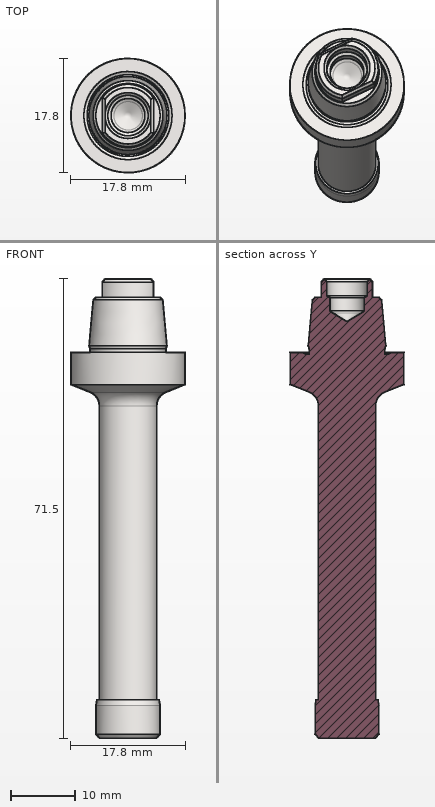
import cadquery as cq
import math

total_height = 71.45
shaft_radius = 4.5

collar_radius = 5.0
collar_height = 6.0
collar_top_radius = 4.85
collar_top_bevel_height = 0.85
foot_chamfer_height = 0.65
foot_radius = 4.4

flange_diameter = 17.8
flange_radius = flange_diameter / 2
flange_bottom = 55.0
flange_top = 60.0
underside_slope = math.radians(22)
underside_blend_radius = 2.2

groove_outer_radius = 6.85
groove_wall_width = 0.5
groove_depth = 0.3
neck_radius = 5.9

taper_bottom = 61.0
taper_bottom_radius = 6.1
taper_top_radius = 5.4
taper_top = 68.6
taper_chamfer = 0.4
taper_lip_height = 0.4

tang_radius = 4.85
tang_flat_distance = 8.0
tang_chamfer_width = 0.4
tang_chamfer_height = 0.5

bore_mouth_radius = 3.6
bore_radius = 3.15
bore_chamfer_height = 0.4
bore_depth = 2.65
pilot_radius = 2.65
pilot_lead_in_height = 0.3
pilot_depth = 5.0
drill_radius = 2.2
drill_lead_in_height = 0.3
drill_point_angle = math.radians(118)


def make_body():
    """Revolve everything below the tang about Z."""
    blend_center_radius = shaft_radius + underside_blend_radius
    tangent_radius = blend_center_radius - underside_blend_radius * math.sin(underside_slope)
    tangent_height = flange_bottom - (flange_radius - tangent_radius) * math.tan(underside_slope)
    blend_center_height = tangent_height - underside_blend_radius * math.cos(underside_slope)
    middle_angle = (math.pi + math.pi / 2 + underside_slope) / 2
    blend_middle = (
        blend_center_radius + underside_blend_radius * math.cos(middle_angle),
        blend_center_height + underside_blend_radius * math.sin(middle_angle),
    )
    profile = (
        cq.Workplane("XZ")
        .lineTo(foot_radius, 0)
        .lineTo(collar_radius, foot_chamfer_height)
        .lineTo(collar_radius, collar_height - collar_top_bevel_height)
        .lineTo(collar_top_radius, collar_height)
        .lineTo(shaft_radius, collar_height)
        .lineTo(shaft_radius, blend_center_height)
        .threePointArc(blend_middle, (tangent_radius, tangent_height))
        .lineTo(flange_radius, flange_bottom)
        .lineTo(flange_radius, flange_top)
        .lineTo(groove_outer_radius, flange_top)
        .lineTo(groove_outer_radius - groove_wall_width, flange_top - groove_depth)
        .lineTo(neck_radius, flange_top - groove_depth)
        .lineTo(neck_radius, taper_bottom - taper_lip_height)
        .lineTo(taper_bottom_radius, taper_bottom)
        .lineTo(taper_top_radius, taper_top - taper_chamfer)
        .lineTo(taper_top_radius - taper_chamfer, taper_top)
        .lineTo(0, taper_top)
        .close()
    )
    return profile.revolve(360, (0, 0), (0, 1))


def make_tang():
    """Round tang cut by two flats, chamfered around its top rim."""
    tang_height = total_height - taper_top
    flats = cq.Workplane("XY").box(
        tang_flat_distance, 2 * tang_radius, tang_height, centered=(True, True, False)
    )
    tang = cq.Workplane("XY").circle(tang_radius).extrude(tang_height).intersect(flats)
    tang = tang.faces(">Z").chamfer(tang_chamfer_width, tang_chamfer_height)
    return tang.translate((0, 0, taper_top))


def make_bore():
    """Solid of revolution that is removed to form the bore."""
    step_height = total_height - bore_depth
    pilot_bottom = total_height - pilot_depth
    point_base = pilot_bottom - drill_lead_in_height
    point_depth = drill_radius / math.tan(drill_point_angle / 2)
    profile = (
        cq.Workplane("XZ")
        .moveTo(0, total_height)
        .lineTo(bore_mouth_radius, total_height)
        .lineTo(bore_radius, total_height - bore_chamfer_height)
        .lineTo(bore_radius, step_height)
        .lineTo(pilot_radius, step_height - pilot_lead_in_height)
        .lineTo(pilot_radius, pilot_bottom)
        .lineTo(drill_radius, point_base)
        .lineTo(0, point_base - point_depth)
        .close()
    )
    return profile.revolve(360, (0, 0), (0, 1))


result = make_body().union(make_tang()).cut(make_bore())